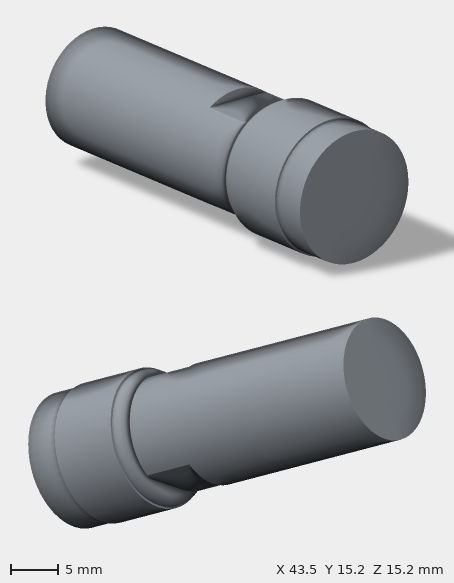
import cadquery as cq

total_length = 43.45
rear_length = 14.7
flat_start = 24.0
nut_start = 30.4
band_start = 31.7
band_end = 39.5

shank_diameter = 13.25
flat_spacing = 10.8
shank_chamfer = 0.5
nut_diameter = 14.75
band_diameter = 15.25
rim_fillet = 1.05


def cylinder(start, end, diameter):
    """Solid cylinder on the X axis between two stations."""
    return cq.Workplane("YZ", origin=(start, 0, 0)).circle(diameter / 2).extrude(end - start)


def make_rear_barrel():
    """Plain solid barrel behind the shank."""
    return cylinder(0, rear_length, shank_diameter)


def make_shank():
    """Shank with a chamfered front end and two opposite wrench flats running up to the nut."""
    shank = cylinder(rear_length, nut_start, shank_diameter).faces(">X").chamfer(shank_chamfer)
    flat_length = nut_start - flat_start
    cut_height = shank_diameter / 2
    cutter = cq.Workplane("XY").box(flat_length, shank_diameter, cut_height)
    for side in (1, -1):
        offset = side * (flat_spacing + cut_height) / 2
        shank = shank.cut(cutter.translate((flat_start + flat_length / 2, 0, offset)))
    return shank


def make_nut():
    """Nut with a rounded rear rim and a raised grip band."""
    core = cylinder(nut_start, total_length, nut_diameter).faces("<X").edges().fillet(rim_fillet)
    grip_band = cylinder(band_start, band_end, band_diameter)
    return core.union(grip_band)


rear_barrel = make_rear_barrel()
shank = make_shank()
nut = make_nut()

result = cq.Compound.makeCompound([rear_barrel.val(), shank.solids().val(), nut.solids().val()])